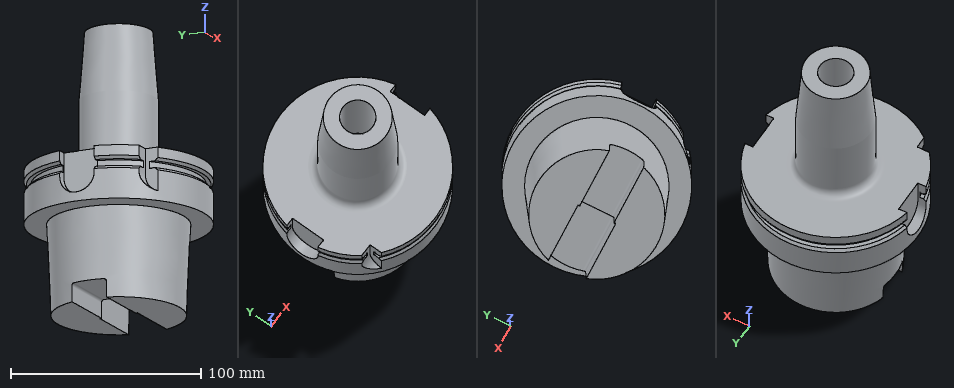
import cadquery as cq

total_height = 155.0
flange_bottom_z = 49.9
flange_top_z = 79.2
tip_cone_z = 117.3

shank_end_radius = 35.8
shank_base_radius = 38.0
flange_radius = 100.0 / 2
stem_radius = 21.1
tip_radius = 18.1
stem_fillet = 5.0

groove_radius = 46.2
groove_bottom_z = 68.2
groove_top_z = 71.9
groove_bevel_width = 1.4
groove_bevel_height = 1.5
groove_lip_radius = flange_radius - groove_bevel_width

bore_diameter = 19.0
bore_depth = 51.2

keyway_floor_x = 43.9
keyway_bottom_z = 54.9
left_slot_width = 20.3
right_slot_width = 22.3

notch_wall_x = 31.5
notch_side_y = 31.5
notch_width = left_slot_width

left_drive_height = 10.0
right_drive_height = 15.2
drive_corner_radius = 1.5


def turned_body():
    """Revolve the shank, grooved flange and stem about Z."""
    profile = (
        cq.Workplane("XZ")
        .lineTo(shank_end_radius, 0)
        .lineTo(shank_base_radius, flange_bottom_z)
        .lineTo(flange_radius, flange_bottom_z)
        .lineTo(flange_radius, groove_bottom_z - groove_bevel_height)
        .lineTo(groove_lip_radius, groove_bottom_z)
        .lineTo(groove_radius, groove_bottom_z)
        .lineTo(groove_radius, groove_top_z)
        .lineTo(groove_lip_radius, groove_top_z)
        .lineTo(flange_radius, groove_top_z + groove_bevel_height)
        .lineTo(flange_radius, flange_top_z)
        .lineTo(stem_radius + stem_fillet, flange_top_z)
        .radiusArc((stem_radius, flange_top_z + stem_fillet), stem_fillet)
        .lineTo(stem_radius, tip_cone_z)
        .lineTo(tip_radius, total_height)
        .lineTo(0, total_height)
        .close()
    )
    return profile.revolve(360, (0, 0), (0, 1))


def bore():
    """Blind bore from the tip."""
    return (
        cq.Workplane("XY", origin=(0, 0, total_height))
        .circle(bore_diameter / 2)
        .extrude(-bore_depth)
    )


def rim_slot(side, floor_x, center_y, width):
    """Round-bottomed slot from the flange top, outward in X from floor_x; side is +1 or -1."""
    radius = width / 2
    arc_center_z = keyway_bottom_z + radius
    return (
        cq.Workplane("YZ", origin=(side * floor_x, center_y, 0))
        .moveTo(-radius, flange_top_z)
        .lineTo(-radius, arc_center_z)
        .threePointArc((0, keyway_bottom_z), (radius, arc_center_z))
        .lineTo(radius, flange_top_z)
        .close()
        .extrude(side * flange_radius)
    )


def drive_slot(side, width, height):
    """Slot across one half of the shank end, with rounded upper corners."""
    return (
        cq.Workplane("XY")
        .box(shank_base_radius, width, height, centered=(True, True, False))
        .translate((side * shank_base_radius / 2, 0, 0))
        .edges("|X and >Z")
        .fillet(drive_corner_radius)
    )


result = (
    turned_body()
    .cut(bore())
    .cut(rim_slot(-1, keyway_floor_x, 0, left_slot_width))
    .cut(rim_slot(1, keyway_floor_x, 0, right_slot_width))
    .cut(rim_slot(-1, notch_wall_x, -notch_side_y - notch_width / 2, notch_width))
    .cut(drive_slot(-1, left_slot_width, left_drive_height))
    .cut(drive_slot(1, right_slot_width, right_drive_height))
)